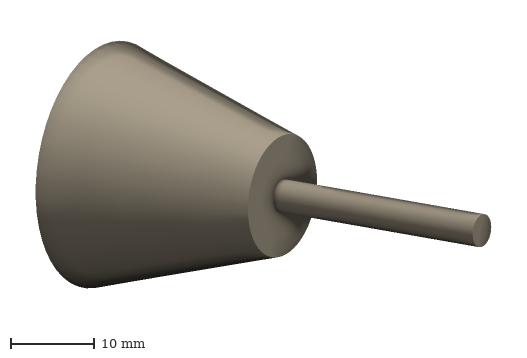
import cadquery as cq

total_length = 54.3
cone_length = 25.55
base_diameter = 30.0
tip_diameter = 15.0
shank_diameter = 4.0

base_radius = base_diameter / 2
tip_radius = tip_diameter / 2
shank_radius = shank_diameter / 2

profile = (
    cq.Workplane("XY")
    .moveTo(0, 0)
    .lineTo(0, base_radius)
    .lineTo(cone_length, tip_radius)
    .lineTo(cone_length, shank_radius)
    .lineTo(total_length, shank_radius)
    .lineTo(total_length, 0)
    .close()
)

result = profile.revolve(360, (0, 0, 0), (1, 0, 0))